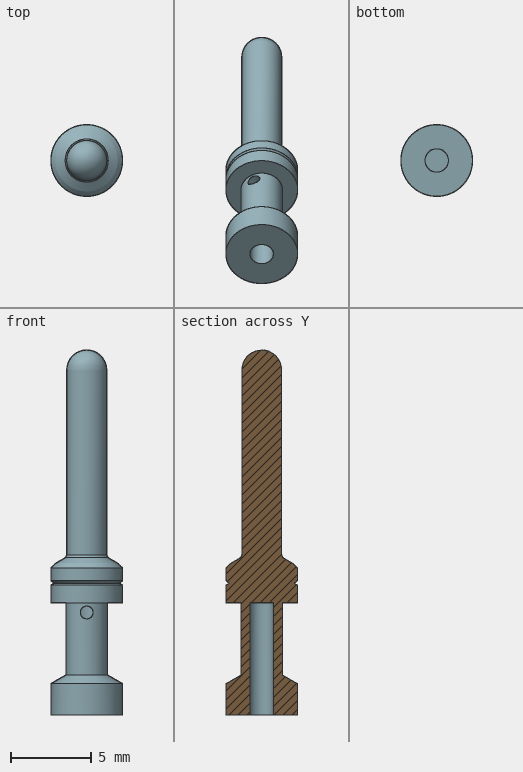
import cadquery as cq
import math

total_length = 22.8
pin_radius = 1.25
barrel_radius = 1.3
flange_radius = 2.245
cone_angle = math.radians(30)

foot_height = 2.5

collar_bottom = 7.0
collar_top = 10.0
neck_chamfer_width = 0.1
neck_chamfer_height = 0.18
shoulder_chamfer = 0.3

groove_top = 8.4
groove_root_height = 8.23
groove_root_radius = 2.05

bore_diameter = 1.45
bore_depth = collar_bottom
inspection_diameter = 0.8
inspection_height = 6.4


def cone_drop(inner_radius, outer_radius):
    """Height lost along a cone between two radii."""
    return (outer_radius - inner_radius) * math.tan(cone_angle)


def turned_body():
    """Full outer shape, revolved from its half profile."""
    foot_rim_height = foot_height - cone_drop(barrel_radius, flange_radius)
    groove_bottom = groove_root_height - cone_drop(groove_root_radius, flange_radius)

    neck_radius = pin_radius + neck_chamfer_width
    neck_height = collar_top - neck_chamfer_height
    shoulder_radius = flange_radius - shoulder_chamfer
    shoulder_height = neck_height - cone_drop(neck_radius, shoulder_radius)
    collar_wall_top = shoulder_height - shoulder_chamfer

    tip_center_height = total_length - pin_radius
    tip_middle_offset = pin_radius * math.sin(math.pi / 4)

    profile = (
        cq.Workplane("XZ")
        .lineTo(flange_radius, 0)
        .lineTo(flange_radius, foot_rim_height)
        .lineTo(barrel_radius, foot_height)
        .lineTo(barrel_radius, collar_bottom)
        .lineTo(flange_radius, collar_bottom)
        .lineTo(flange_radius, groove_bottom)
        .lineTo(groove_root_radius, groove_root_height)
        .lineTo(flange_radius, groove_top)
        .lineTo(flange_radius, collar_wall_top)
        .lineTo(shoulder_radius, shoulder_height)
        .lineTo(neck_radius, neck_height)
        .lineTo(pin_radius, collar_top)
        .lineTo(pin_radius, tip_center_height)
        .threePointArc(
            (tip_middle_offset, tip_center_height + tip_middle_offset),
            (0, total_length),
        )
        .close()
    )
    return profile.revolve(360, (0, 0, 0), (0, 1, 0))


def wire_bore():
    """Blind bore from the bottom face, ending level with the collar's underside."""
    return cq.Workplane("XY").circle(bore_diameter / 2).extrude(bore_depth)


def inspection_hole():
    """Hole through the -Y wall of the barrel into the bore."""
    return (
        cq.Workplane("XZ")
        .center(0, inspection_height)
        .circle(inspection_diameter / 2)
        .extrude(barrel_radius)
    )


result = turned_body().cut(wire_bore()).cut(inspection_hole())